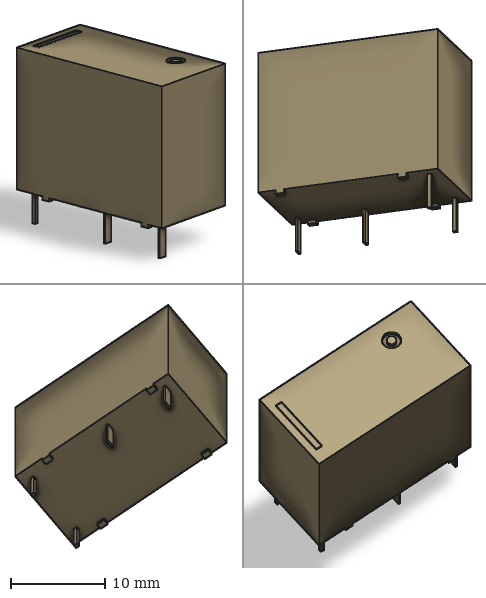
import cadquery as cq

case_length = 20.3
case_width = 10.3
case_height = 15.81

foot_length = 0.93
foot_width = 0.65
foot_height = 0.4
foot_centers_x = (4.04, 17.86)

pin_length = 3.8
coil_pin_side = 0.4
coil_pin_x = 1.38
pin_row_inset = 1.35
contact_pin_thickness = 0.25
contact_pin_width = 0.97
contact_pin_y = 1.4
contact_pins_x = (11.49, 19.1)

mark_length = 6.98
mark_width = 0.75
mark_center_x = 1.3
mark_depth = 0.1

vent_x = 15.65
vent_y = 7.65
vent_outer_diameter = 2.03
vent_post_diameter = 1.02
vent_depth = 0.4

EMBED = 0.2


def hanging_block(x, y, size_x, size_y, drop):
    """Block centred at (x, y) that hangs below the case floor."""
    return (
        cq.Workplane("XY", origin=(x, y, EMBED))
        .rect(size_x, size_y)
        .extrude(-(drop + EMBED))
    )


def make_case():
    return cq.Workplane("XY").box(case_length, case_width, case_height, centered=False)


def mark_recess():
    return (
        cq.Workplane("XY", origin=(mark_center_x, case_width / 2, case_height))
        .rect(mark_width, mark_length)
        .extrude(-mark_depth)
    )


def vent_groove():
    return (
        cq.Workplane("XY", origin=(vent_x, vent_y, case_height))
        .circle(vent_outer_diameter / 2)
        .circle(vent_post_diameter / 2)
        .extrude(-vent_depth)
    )


result = make_case().cut(mark_recess()).cut(vent_groove())

for foot_x in foot_centers_x:
    for foot_y in (foot_width / 2, case_width - foot_width / 2):
        result = result.union(hanging_block(foot_x, foot_y, foot_length, foot_width, foot_height))

for pin_y in (pin_row_inset, case_width - pin_row_inset):
    result = result.union(hanging_block(coil_pin_x, pin_y, coil_pin_side, coil_pin_side, pin_length))

for pin_x in contact_pins_x:
    result = result.union(
        hanging_block(pin_x, contact_pin_y, contact_pin_thickness, contact_pin_width, pin_length)
    )